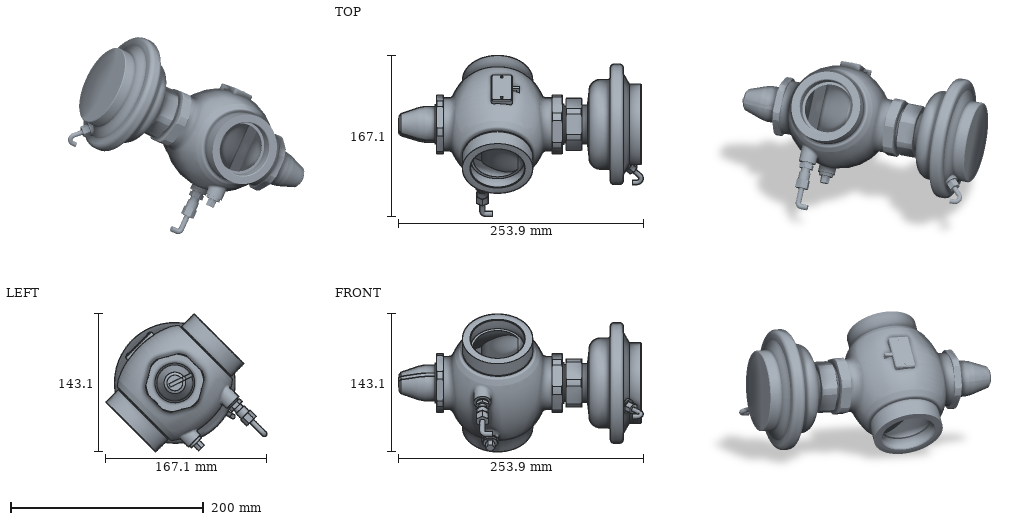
import cadquery as cq
import math

PORT_TILT = 45.0
SLIVER = 0.5

PORT_RADIUS = 36.5
PORT_END = 64.7
BORE_RADIUS = 28.0
BORE_CHAMFER = 0.8
BARREL_RADIUS = 53.0
BARREL_EDGE_RADIUS = 44.0
BARREL_EDGE = 39.0
SHOULDER_RADIUS = 39.5
SHOULDER_FILLET = 2.5
SHOULDER = 45.2
PORT_GROOVE_RADIUS = 35.5
PORT_GROOVE_END = 46.5

CHAMBER_TOP = 52.3
CHAMBER_FLOOR = 15.2
CHAMBER_ROOF_RADIUS = 24.9
CHAMBER_FLOOR_RADIUS = 41.5
CHAMBER_LEFT = -28.0
LEDGE_START = -16.5
LEDGE_EDGE = -8.5
LEDGE_HEIGHT = 27.0
LEDGE_ROUND = 17.8
PARTITION_ANGLE = 40.0

NECK_RADIUS = 27.7
NECK_FILLET = 5.0
NECK_SEAM_REACH = 54.5
NECK_SEAM_WIDTH = 38.0
FLANGE_FLATS = 56.8
FLANGE_RIM = 30.7
FLANGE_CHAMFER = 0.8
LEFT_FLANGE = (-63.5, -56.0)
RIGHT_FLANGE = (56.3, 67.2)
COLLAR_RADIUS = 21.0
GROOVE_RADIUS = 19.3
GROOVE_END = 69.0

NOSE_TIP = -102.2
NOSE_TIP_RADIUS = 8.0
NOSE_EDGE = -100.2
NOSE_EDGE_RADIUS = 11.2
NOSE_CONE_END = -81.7
NOSE_CONE_RADIUS = 17.5
NOSE_SHOULDER = -75.0
NOSE_RADIUS = 18.8
NOSE_BASE = -64.7
NOSE_COLLAR_RADIUS = 20.5
RIB_WIDTH = 3.8
RIB_HEIGHT = 1.0
RIB_TIP = -102.8
RIB_TAIL = 6.0
RIB_ANGLE = 26.0

BOSS_OFFSET = 28.2
BOSS_RADIUS = 9.0
BOSS_END = 56.8
BOSS_FILLET = 2.0
BOSS_ROOT = 38.0
TUBE_BOSS_X = -15.7
PLUG_BOSS_X = -7.5
BOSS_SEAM_LOW = (-30.5, -53.3, -40.5)
BOSS_SEAM_HIGH = (7.5, -35.5, 40.5)

TUBE_STACK = [
    ("round", BOSS_RADIUS, BOSS_END),
    ("round", 6.0, 58.5),
    ("hex", 7.5, 63.2),
    ("round", 4.8, 67.5),
    ("round", 5.8, 75.0),
    ("hex", 7.0, 84.2),
]
TUBE_HEX_TURN = 30.0
PLUG_STACK = [
    ("round", BOSS_RADIUS, BOSS_END),
    ("round", 7.4, 60.0),
    ("hex", 4.8, 67.2),
]
PLUG_HEX_TURN = 0.0

TUBE_RADIUS = 2.8
TUBE_BEND = 3.8
TUBE_START = 83.7
TUBE_REACH = 103.0
TUBE_END_X = -5.0

PLATE_X = 4.3
PLATE_Z = 1.3
PLATE_WIDTH = 21.8
PLATE_LENGTH = 38.0
PLATE_TOP = 55.5
PLATE_DEPTH = 7.5
PLATE_CORNER = 2.5
PLATE_RIM = 1.0
RIVET_RADIUS = 1.3
RIVET_HEIGHT = 0.5
RIVET_SPACING = 30.0
HOOK_SIZE = 3.3
HOOK_END = 22.8
HOOK_DROP = 6.0

NUT_START = 70.8
NUT_END = 87.3
NUT_FLATS = 50.0
NUT_RIM = 27.1
STEM_RADIUS = 20.3
DOME_START = 93.0
DOME_FACE = (94.6, 33.5)
DOME_MID = (97.7, 42.5)
DOME_SHOULDER = 106.8
DOME_RADIUS = 46.7
DOME_FILLET = 2.3
RIM_START = 116.7
RIM_END = 130.5
RIM_RADIUS = 62.7
RIM_FILLET = 4.3
CONE_RADIUS = 52.3
CAP_START = 136.5
CAP_RADIUS = 41.9
CAP_END = 149.0
CAP_CHAMFER = 0.8

PIPE_ANGLE = 30.0
PIPE_ROOT = (129.1, 42.4)
PIPE_RADIUS = 2.4
PIPE_BEND = 4.8
PIPE_BEND_CENTER = (143.9, 64.7)
PIPE_RUN = 10.1
PIPE_END_X = 139.8
WASHER_RADIUS = 7.4
WASHER_END = 9.1
FITTING_HEX_RADIUS = 5.8
FITTING_HEX_END = 16.7


def revolve_about_x(outline):
    """Solid of revolution about X from a closed outline in the XY plane."""
    return outline.revolve(360, (0, 0, 0), (1, 0, 0))


def turn_about_x(body, angle):
    """Body turned about the X axis."""
    return body.rotate((0, 0, 0), (1, 0, 0), angle)


def disc(start, end, radius):
    """Cylinder on the X axis."""
    return cq.Workplane("YZ", origin=(start, 0, 0)).circle(radius).extrude(end - start)


def hexagon(start, end, flats, rim, chamfer):
    """Hexagonal prism on the X axis with its corners turned down to a round rim."""
    corners = 2 * flats / math.sqrt(3)
    prism = cq.Workplane("YZ", origin=(start, 0, 0)).polygon(6, corners).extrude(end - start)
    return prism.intersect(disc(start, end, rim).edges().chamfer(chamfer))


def frustum(bottom, top, bottom_radius, top_radius):
    """Cone frustum on the Z axis."""
    base = cq.Workplane("XY", origin=(0, 0, bottom)).circle(bottom_radius)
    return base.workplane(offset=top - bottom).circle(top_radius).loft()


def make_shell():
    """Barrel with two necks and a cylindrical port at each end."""
    barrel = (
        cq.Workplane("XZ")
        .moveTo(0, -SHOULDER)
        .lineTo(SHOULDER_RADIUS, -SHOULDER)
        .lineTo(BARREL_EDGE_RADIUS, -BARREL_EDGE)
        .threePointArc((BARREL_RADIUS, 0), (BARREL_EDGE_RADIUS, BARREL_EDGE))
        .lineTo(SHOULDER_RADIUS, SHOULDER)
        .lineTo(0, SHOULDER)
        .close()
        .revolve(360, (0, 0, 0), (0, 1, 0))
    )
    barrel = barrel.edges("<Z or >Z").fillet(SHOULDER_FILLET)
    shell = barrel.union(disc(LEFT_FLANGE[1] - SLIVER, RIGHT_FLANGE[0] + SLIVER, NECK_RADIUS))
    neck_seams = cq.selectors.BoxSelector(
        (-NECK_SEAM_REACH, -NECK_SEAM_WIDTH, -NECK_SEAM_WIDTH),
        (NECK_SEAM_REACH, NECK_SEAM_WIDTH, NECK_SEAM_WIDTH),
    )
    shell = shell.edges(neck_seams).fillet(NECK_FILLET)
    core = cq.Workplane("XY").circle(PORT_GROOVE_RADIUS).extrude(PORT_GROOVE_END, both=True)
    shell = shell.union(core)
    for side in (-1, 1):
        start = cq.Workplane("XY", origin=(0, 0, side * PORT_GROOVE_END))
        shell = shell.union(start.circle(PORT_RADIUS).extrude(side * (PORT_END - PORT_GROOVE_END)))
    return shell


def make_chamber():
    """Bore of the upper port with the chamber below it."""
    rise = CHAMBER_TOP - LEDGE_HEIGHT
    slope_end = LEDGE_EDGE + rise / math.tan(math.radians(PARTITION_ANGLE))
    profile = (
        cq.Workplane("XZ", origin=(0, CHAMBER_FLOOR_RADIUS, 0))
        .moveTo(CHAMBER_LEFT, CHAMBER_TOP)
        .lineTo(CHAMBER_LEFT, CHAMBER_FLOOR)
        .lineTo(LEDGE_START, CHAMBER_FLOOR)
        .radiusArc((LEDGE_EDGE, LEDGE_HEIGHT), LEDGE_ROUND)
        .lineTo(slope_end, CHAMBER_TOP)
        .close()
        .extrude(2 * CHAMBER_FLOOR_RADIUS)
    )
    drum = frustum(CHAMBER_FLOOR, CHAMBER_TOP, CHAMBER_FLOOR_RADIUS, CHAMBER_ROOF_RADIUS)
    bore = (
        cq.Workplane("XY", origin=(0, 0, CHAMBER_TOP - SLIVER))
        .circle(BORE_RADIUS)
        .extrude(PORT_END - CHAMBER_TOP + SLIVER)
    )
    mouth = frustum(PORT_END - BORE_CHAMFER, PORT_END, BORE_RADIUS, BORE_RADIUS + BORE_CHAMFER)
    return profile.intersect(drum).union(bore.union(mouth))


def make_nose():
    """Tapered cap on the left flange with one raised pointer rib."""
    cap = revolve_about_x(
        cq.Workplane("XY")
        .moveTo(NOSE_TIP, 0)
        .lineTo(NOSE_TIP, NOSE_TIP_RADIUS)
        .lineTo(NOSE_EDGE, NOSE_EDGE_RADIUS)
        .lineTo(NOSE_CONE_END, NOSE_CONE_RADIUS)
        .lineTo(NOSE_SHOULDER, NOSE_RADIUS)
        .lineTo(NOSE_BASE, NOSE_RADIUS)
        .lineTo(NOSE_BASE, NOSE_COLLAR_RADIUS)
        .lineTo(LEFT_FLANGE[0] + SLIVER, NOSE_COLLAR_RADIUS)
        .lineTo(LEFT_FLANGE[0] + SLIVER, 0)
        .close()
    )
    rib = (
        cq.Workplane("XY", origin=(0, 0, -RIB_WIDTH / 2))
        .moveTo(RIB_TIP, RIB_TAIL)
        .lineTo(RIB_TIP, -NOSE_TIP_RADIUS - RIB_HEIGHT)
        .lineTo(NOSE_EDGE, -NOSE_EDGE_RADIUS - RIB_HEIGHT)
        .lineTo(NOSE_CONE_END, -NOSE_CONE_RADIUS - RIB_HEIGHT)
        .lineTo(NOSE_SHOULDER, -NOSE_RADIUS - RIB_HEIGHT)
        .lineTo(NOSE_BASE, -NOSE_RADIUS - RIB_HEIGHT)
        .lineTo(NOSE_BASE, RIB_TAIL)
        .close()
        .extrude(RIB_WIDTH)
    )
    return cap.union(turn_about_x(rib, -RIB_ANGLE))


def stack_on_boss(x, z, sections, turn):
    """Stack of round and hexagonal sections running out along -Y."""
    start = BOSS_ROOT
    stack = None
    for shape, radius, end in sections:
        base = cq.Workplane("XZ", origin=(x, -start, z))
        if shape == "hex":
            piece = base.transformed(rotate=(0, 0, turn)).polygon(6, 2 * radius).extrude(end - start)
        else:
            piece = base.circle(radius).extrude(end - start)
        stack = piece if stack is None else stack.union(piece)
        start = end
    return stack


def make_sampling_fitting():
    """Boss with a screwed fitting and a bent tube."""
    fitting = stack_on_boss(TUBE_BOSS_X, BOSS_OFFSET, TUBE_STACK, TUBE_HEX_TURN)
    path = (
        cq.Workplane("XY", origin=(0, 0, BOSS_OFFSET))
        .moveTo(TUBE_BOSS_X, -TUBE_START)
        .lineTo(TUBE_BOSS_X, -TUBE_REACH + TUBE_BEND)
        .radiusArc((TUBE_BOSS_X + TUBE_BEND, -TUBE_REACH), -TUBE_BEND)
        .lineTo(TUBE_END_X, -TUBE_REACH)
    )
    section = cq.Workplane("XZ", origin=(TUBE_BOSS_X, -TUBE_START, BOSS_OFFSET)).circle(TUBE_RADIUS)
    return fitting.union(section.sweep(path))


def make_drain_plug():
    """Boss closed by a hexagonal plug."""
    return stack_on_boss(PLUG_BOSS_X, -BOSS_OFFSET, PLUG_STACK, PLUG_HEX_TURN)


def make_name_plate():
    """Rounded plate with two rivets, facing +Y."""
    base = cq.Workplane("XZ", origin=(PLATE_X, PLATE_TOP, PLATE_Z))
    plate = base.rect(PLATE_WIDTH, PLATE_LENGTH).extrude(PLATE_DEPTH)
    plate = plate.edges("|Y").fillet(PLATE_CORNER).faces(">Y").edges().chamfer(PLATE_RIM)
    rivets = base.rarray(2.5, RIVET_SPACING, 1, 2).circle(RIVET_RADIUS).extrude(-RIVET_HEIGHT)
    return plate.union(rivets)


def make_hook():
    """Square arm beside the name plate with its tip bent toward the barrel."""
    centering = (False, True, True)
    arm = cq.Workplane("XY").box(HOOK_END - PLATE_X, HOOK_SIZE, HOOK_SIZE, centered=centering)
    tip = cq.Workplane("XY").box(HOOK_SIZE, HOOK_DROP, HOOK_SIZE, centered=centering)
    arm = arm.translate((PLATE_X, PLATE_TOP - HOOK_SIZE, 0))
    tip = tip.translate((HOOK_END - HOOK_SIZE, PLATE_TOP - HOOK_DROP, 0))
    return arm.union(tip)


def make_valve():
    """Valve body with its flanges, fittings, name plate and nose cap."""
    valve = make_shell().union(make_sampling_fitting()).union(make_drain_plug())
    boss_seams = cq.selectors.BoxSelector(BOSS_SEAM_LOW, BOSS_SEAM_HIGH)
    valve = valve.edges(boss_seams).fillet(BOSS_FILLET)
    left_hex = hexagon(*LEFT_FLANGE, FLANGE_FLATS, FLANGE_RIM, FLANGE_CHAMFER)
    right_hex = hexagon(*RIGHT_FLANGE, FLANGE_FLATS, FLANGE_RIM, FLANGE_CHAMFER)
    valve = valve.union(left_hex).union(turn_about_x(right_hex, 90))
    valve = valve.union(disc(RIGHT_FLANGE[1] - SLIVER, GROOVE_END, COLLAR_RADIUS))
    valve = valve.union(disc(GROOVE_END - SLIVER, NUT_START, GROOVE_RADIUS))
    for part in (make_name_plate(), make_hook()):
        valve = valve.union(part)
    chamber = make_chamber()
    for turn in (0, 180):
        valve = valve.cut(turn_about_x(chamber, turn))
    return turn_about_x(valve, PORT_TILT).union(make_nose())


def make_pressure_pipe():
    """Screwed elbow leaning outward from the cone of the actuator, built toward -Y."""
    root_x, root_radius = PIPE_ROOT
    lean = (1, -1, 0)
    root = cq.Workplane(cq.Plane(origin=(root_x, -root_radius, 0), xDir=(0, 0, 1), normal=lean))
    washer = root.circle(WASHER_RADIUS).extrude(WASHER_END)
    fitting = washer.union(root.polygon(6, 2 * FITTING_HEX_RADIUS).extrude(FITTING_HEX_END))
    bend_x, bend_radius = PIPE_BEND_CENTER
    diagonal = PIPE_BEND / math.sqrt(2)
    bend_start = (bend_x + diagonal, -bend_radius + diagonal)
    pipe_start = (bend_start[0] - PIPE_RUN, bend_start[1] + PIPE_RUN)
    half_turn = math.radians(22.5)
    bend_mid = (
        bend_x + PIPE_BEND * math.cos(half_turn),
        -bend_radius - PIPE_BEND * math.sin(half_turn),
    )
    path = (
        cq.Workplane("XY")
        .moveTo(*pipe_start)
        .lineTo(*bend_start)
        .threePointArc(bend_mid, (bend_x, -bend_radius - PIPE_BEND))
        .lineTo(PIPE_END_X, -bend_radius - PIPE_BEND)
    )
    section = cq.Workplane(cq.Plane(origin=(*pipe_start, 0), xDir=(0, 0, 1), normal=lean))
    pipe = section.circle(PIPE_RADIUS).sweep(path)
    return turn_about_x(fitting.union(pipe), PIPE_ANGLE)


def make_actuator():
    """Diaphragm casing with its union nut and pressure connection."""
    nut = hexagon(NUT_START, NUT_END, NUT_FLATS, NUT_RIM, FLANGE_CHAMFER)
    casing = revolve_about_x(
        cq.Workplane("XY")
        .moveTo(NUT_END - SLIVER, 0)
        .lineTo(NUT_END - SLIVER, STEM_RADIUS)
        .lineTo(DOME_START, STEM_RADIUS)
        .lineTo(*DOME_FACE)
        .threePointArc(DOME_MID, (DOME_SHOULDER, DOME_RADIUS))
        .lineTo(RIM_START, DOME_RADIUS)
        .lineTo(RIM_START, RIM_RADIUS)
        .lineTo(RIM_END, RIM_RADIUS)
        .lineTo(RIM_END, CONE_RADIUS)
        .lineTo(CAP_START, CAP_RADIUS)
        .lineTo(CAP_END, CAP_RADIUS)
        .lineTo(CAP_END, 0)
        .close()
    )
    casing = casing.edges(cq.selectors.RadiusNthSelector(-1)).fillet(RIM_FILLET)
    rim_face = cq.selectors.BoxSelector((RIM_START - SLIVER, -2.5, -2.5), (RIM_START + SLIVER, 2.5, 2.5))
    dome_seam = casing.edges(rim_face).edges(cq.selectors.RadiusNthSelector(0))
    casing = dome_seam.fillet(DOME_FILLET)
    casing = casing.faces(">X").edges().chamfer(CAP_CHAMFER)
    return casing.union(nut).union(make_pressure_pipe())


valve = make_valve()
actuator = make_actuator()
result = cq.Compound.makeCompound([valve.val(), actuator.val()])